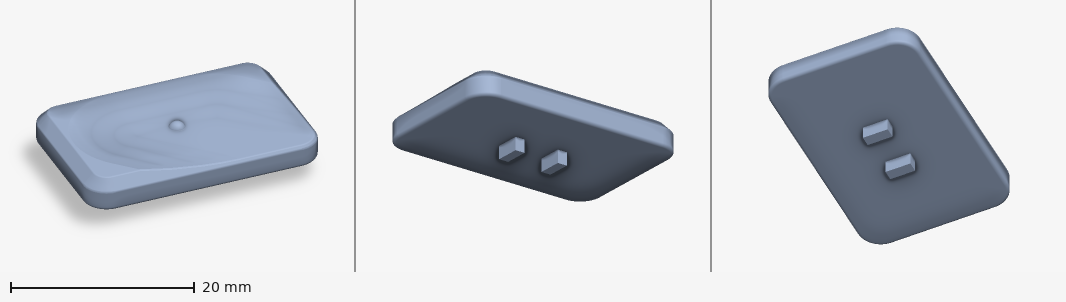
import cadquery as cq
import math

LENGTH = 27.5
WIDTH = 18.0
TRAY_HEIGHT = 3.55
CORNER_RADIUS = 2.75
RIM_CHAMFER = 1.25
EDGE_ROUND = 0.3
UNDERSIDE_ROUND = 0.38

DISH_RADIUS = 7.45
DISH_DEPTH = 0.88
DISH_END_Y = 4.73
CUT_CLEARANCE = 1.38
SPOUT_ANGLE = 45.0
SPOUT_REACH = LENGTH

BUTTON_RADIUS = 0.9
BUTTON_HEIGHT = 0.6
BUTTON_BLEND = 0.1

PEG_WIDTH = 3.0
PEG_LENGTH = 1.2
PEG_HEIGHT = 1.6
PEG_CENTER_Y = 2.85

TOLERANCE = 0.003

DISH_FLOOR = TRAY_HEIGHT - DISH_DEPTH
CUT_TOP = TRAY_HEIGHT + CUT_CLEARANCE


def heading(angle):
    """Horizontal unit vector at an angle in degrees from +X."""
    return cq.Vector(math.cos(math.radians(angle)), math.sin(math.radians(angle)), 0)


def arc_bulging_down(sketch, radius, rise):
    """Arc from (0, 0) to (radius, rise), level at its start."""
    sphere_radius = (radius**2 + rise**2) / (2 * rise)
    half_angle = math.asin(radius / sphere_radius) / 2
    middle = (
        sphere_radius * math.sin(half_angle),
        sphere_radius * (1 - math.cos(half_angle)),
    )
    return sketch.moveTo(0, 0).threePointArc(middle, (radius, rise))


def half_section(end_y, outward_angle):
    """Half of the dish section, from the dish end's axis out to the rim."""
    outward = heading(outward_angle)
    normal = outward.cross(cq.Vector(0, 0, 1))
    plane = cq.Plane(origin=(0, end_y, DISH_FLOOR), xDir=outward, normal=normal)
    section = arc_bulging_down(cq.Workplane(plane), DISH_RADIUS, DISH_DEPTH)
    height = CUT_TOP - DISH_FLOOR
    return section.lineTo(DISH_RADIUS, height).lineTo(0, height).close()


def round_end(end_y, start_angle, sweep):
    """Part of a bowl, turned counterclockwise about a dish end's axis."""
    return half_section(end_y, start_angle).revolve(sweep, (0, 0), (0, 1))


def spout_floor():
    """Level floor running diagonally from the line between the dish ends."""
    reach = heading(SPOUT_ANGLE) * SPOUT_REACH
    outline = [
        (0, -DISH_END_Y),
        (reach.x, reach.y - DISH_END_Y),
        (reach.x, reach.y + DISH_END_Y),
        (0, DISH_END_Y),
    ]
    floor = cq.Workplane("XY").workplane(offset=DISH_FLOOR).polyline(outline).close()
    return floor.extrude(CUT_TOP - DISH_FLOOR)


def dish_cutter():
    left_side_angle = SPOUT_ANGLE + 90
    right_side_angle = SPOUT_ANGLE - 90
    straight_side = half_section(-DISH_END_Y, 180).extrude(2 * DISH_END_Y)
    spout_left = half_section(DISH_END_Y, left_side_angle).extrude(SPOUT_REACH)
    spout_right = half_section(-DISH_END_Y, right_side_angle).extrude(-SPOUT_REACH)
    far_end = round_end(DISH_END_Y, left_side_angle, 180 - left_side_angle)
    near_end = round_end(-DISH_END_Y, 180, 180 + right_side_angle)
    cutter = straight_side
    for piece in (far_end, near_end, spout_left, spout_right, spout_floor()):
        cutter = cutter.union(piece)
    return cutter


def sharp_tray():
    block = cq.Workplane("XY").box(WIDTH, LENGTH, TRAY_HEIGHT, centered=(True, True, False))
    rounded = block.edges("|Z").fillet(CORNER_RADIUS)
    return rounded.faces(">Z").chamfer(RIM_CHAMFER).cut(dish_cutter())


def is_sharp_upper_edge(edge):
    """True for the chamfer's borders and the dish rim, false for seams between smooth faces."""
    ends = (edge.startPoint(), edge.endPoint())
    wall_top = TRAY_HEIGHT - RIM_CHAMFER
    on_wall_top = all(abs(end.z - wall_top) < TOLERANCE for end in ends)
    above_floor = all(end.z > DISH_FLOOR - TOLERANCE for end in ends)
    meets_dish_axis = any(abs(end.x) < TOLERANCE for end in ends)
    return on_wall_top or (above_floor and not meets_dish_axis)


def rounded_tray():
    tray = sharp_tray().faces("<Z").edges().fillet(UNDERSIDE_ROUND)
    upper_edges = [edge for edge in tray.edges().vals() if is_sharp_upper_edge(edge)]
    return tray.newObject(upper_edges).fillet(EDGE_ROUND)


def add_button(tray):
    """Add a dome that rises from the dish floor, with a blend around its foot."""
    sphere_radius = (BUTTON_RADIUS**2 + BUTTON_HEIGHT**2) / (2 * BUTTON_HEIGHT)
    ball_center_z = DISH_FLOOR + BUTTON_HEIGHT - sphere_radius
    ball = cq.Workplane("XY").sphere(sphere_radius).translate((0, 0, ball_center_z))
    foot_zone = cq.selectors.BoxSelector(
        (-sphere_radius, -sphere_radius, DISH_FLOOR - TOLERANCE),
        (sphere_radius, sphere_radius, DISH_FLOOR + BUTTON_HEIGHT / 2),
    )
    return tray.union(ball).edges(foot_zone).fillet(BUTTON_BLEND)


def pegs():
    places = [(0, -PEG_CENTER_Y), (0, PEG_CENTER_Y)]
    return cq.Workplane("XY").pushPoints(places).rect(PEG_WIDTH, PEG_LENGTH).extrude(-PEG_HEIGHT)


result = add_button(rounded_tray()).union(pegs())